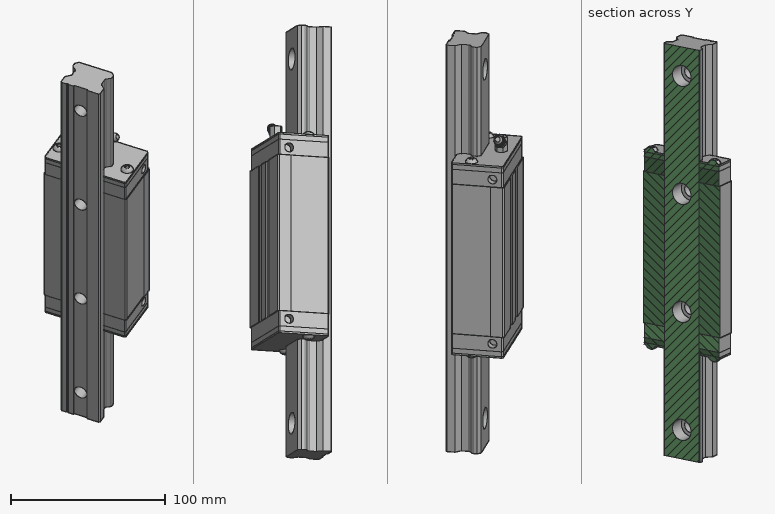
import cadquery as cq
import math

RAIL_LENGTH = 280.0
RAIL_HALF_WIDTH = 14.0
RAIL_HEIGHT = 23.0
RAIL_NECK_HALF_WIDTH = 10.5
RAIL_TOP_CHAMFER_X = 2.2
RAIL_TOP_CHAMFER_Y = 2.2
RACEWAY_TOP = 17.5
NECK_TOP = 15.0
NECK_BOTTOM = 9.5
RACEWAY_FILLET = 1.5
FOOT_TOP = 6.2
FOOT_CHAMFER = 0.8
RELIEF_WIDTH = 9.5
RELIEF_DEPTH = 0.8
MARK_X = -9.2
MARK_WIDTH = 1.0
MARK_DEPTH = 0.5
BOLT_DIAMETER = 9.0
COUNTERBORE_DIAMETER = 14.0
COUNTERBORE_DEPTH = 12.0
BOLT_COUNT = 4
BOLT_PITCH = 80.0

CARRIAGE_Z = -1.0
BLOCK_LENGTH = 103.0
BLOCK_WIDTH = 60.0
BLOCK_TOP = 42.0
CARRIAGE_BOTTOM = 7.0
BLOCK_CHAMFER = 1.0
DATUM_EDGE_Y = 33.0
DATUM_STEP = 0.3
TOP_GROOVE_X = 7.5
TOP_GROOVE_WIDTH = 6.7
TOP_GROOVE_DEPTH = 0.8

CAP_WIDTH = 58.2
CAP_TOP = 41.2
CAP_CHAMFER = 0.8
END_PLATE_THICKNESS = 10.0
SEAL_THICKNESS = 3.5
COVER_THICKNESS = 1.0
PORT_DIAMETER = 6.0
PORT_DEPTH = 5.5
PORT_Y = 34.2

SCREW_X = 24.5
SCREW_Y = 19.3
SCREW_HEAD_DIAMETER = 8.0
SCREW_HEAD_HEIGHT = 2.8
SOCKET_CORNERS = 3.5
SOCKET_DEPTH = 1.5

NIPPLE_Y = 33.5
NIPPLE_HEX_CORNERS = 8.0
NIPPLE_HEX_HEIGHT = 9.8
NIPPLE_TILT = 30
NIPPLE_AXIS_HEIGHT = 5.3
COLLAR_DIAMETER = 6.7
NECK_DIAMETER = 4.5
HEAD_DIAMETER = 6.0
TIP_DIAMETER = 3.5
ELBOW_END = 5.3
COLLAR_END = 7.0
NECK_END = 8.5
HEAD_END = 10.5
TIP_END = 12.3

BLOCK_END = BLOCK_LENGTH / 2
END_PLATE_END = BLOCK_END + END_PLATE_THICKNESS
SEAL_END = END_PLATE_END + SEAL_THICKNESS
COVER_END = SEAL_END + COVER_THICKNESS


def rail_bar():
    """Full-length bar of the rail section, also used to open the carriage around the rail."""
    right = [
        (RAIL_HALF_WIDTH - FOOT_CHAMFER, 0),
        (RAIL_HALF_WIDTH, FOOT_CHAMFER),
        (RAIL_HALF_WIDTH, FOOT_TOP),
        (RAIL_NECK_HALF_WIDTH, NECK_BOTTOM),
        (RAIL_NECK_HALF_WIDTH, NECK_TOP),
        (RAIL_HALF_WIDTH, RACEWAY_TOP),
        (RAIL_HALF_WIDTH, RAIL_HEIGHT - RAIL_TOP_CHAMFER_Y),
        (RAIL_HALF_WIDTH - RAIL_TOP_CHAMFER_X, RAIL_HEIGHT),
    ]
    left = [(-x, y) for x, y in reversed(right)]
    plane = cq.Workplane("XY", origin=(0, 0, -RAIL_LENGTH / 2))
    bar = plane.polyline(right + left).close().extrude(RAIL_LENGTH)
    fillet_points = [(side * x, y) for side in (-1, 1)
                     for x, y in ((RAIL_HALF_WIDTH, RACEWAY_TOP), (RAIL_NECK_HALF_WIDTH, NECK_TOP))]
    for x, y in fillet_points:
        bar = bar.edges(cq.selectors.NearestToPointSelector((x, y, 0))).fillet(RACEWAY_FILLET)
    return bar


def box(width, height, length, x, y_bottom, z):
    """Box centred on x and z, standing on y_bottom."""
    return cq.Workplane("XY").box(width, height, length).translate((x, y_bottom + height / 2, z))


def y_cylinder(diameter, y_start, y_end, z):
    solid = cq.Solid.makeCylinder(diameter / 2, y_end - y_start, cq.Vector(0, y_start, z), cq.Vector(0, 1, 0))
    return cq.Workplane(solid)


def make_rail():
    rail = rail_bar()
    rail = rail.cut(box(RELIEF_WIDTH, RELIEF_DEPTH, RAIL_LENGTH, 0, 0, 0))
    rail = rail.cut(box(MARK_WIDTH, MARK_DEPTH, RAIL_LENGTH, MARK_X, 0, 0))
    for i in range(BOLT_COUNT):
        z = (i - (BOLT_COUNT - 1) / 2) * BOLT_PITCH
        rail = rail.cut(y_cylinder(BOLT_DIAMETER, 0, RAIL_HEIGHT, z))
        rail = rail.cut(y_cylinder(COUNTERBORE_DIAMETER, RAIL_HEIGHT - COUNTERBORE_DEPTH, RAIL_HEIGHT, z))
    return rail


def make_block():
    height = BLOCK_TOP - CARRIAGE_BOTTOM
    block = box(BLOCK_WIDTH, height, BLOCK_LENGTH, 0, CARRIAGE_BOTTOM, CARRIAGE_Z)
    block = block.edges("|Z").chamfer(BLOCK_CHAMFER)
    step_height = DATUM_EDGE_Y - CARRIAGE_BOTTOM
    for side in (-1, 1):
        x = side * BLOCK_WIDTH / 2
        block = block.cut(box(2 * DATUM_STEP, step_height, BLOCK_LENGTH, x, CARRIAGE_BOTTOM, CARRIAGE_Z))
        groove = box(TOP_GROOVE_WIDTH, TOP_GROOVE_DEPTH, BLOCK_LENGTH,
                     side * TOP_GROOVE_X, BLOCK_TOP - TOP_GROOVE_DEPTH, CARRIAGE_Z)
        block = block.cut(groove)
    return block.cut(rail_bar())


def make_layer(end, inner, outer):
    """Plate around the rail on the +Z (end = 1) or -Z (end = -1) side of the block."""
    z = CARRIAGE_Z + end * (inner + outer) / 2
    layer = box(CAP_WIDTH, CAP_TOP - CARRIAGE_BOTTOM, outer - inner, 0, CARRIAGE_BOTTOM, z)
    return layer.edges("|Z").chamfer(CAP_CHAMFER).cut(rail_bar())


def make_end_plate(end):
    plate = make_layer(end, BLOCK_END, END_PLATE_END)
    port_z = CARRIAGE_Z + end * (BLOCK_END + END_PLATE_END) / 2
    for side in (-1, 1):
        mouth = cq.Vector(side * CAP_WIDTH / 2, PORT_Y, port_z)
        port = cq.Solid.makeCylinder(PORT_DIAMETER / 2, PORT_DEPTH, mouth, cq.Vector(-side, 0, 0))
        plate = plate.cut(cq.Workplane(port))
    return plate


def make_seal(end):
    return make_layer(end, END_PLATE_END, SEAL_END)


def make_screw_head():
    """Domed head with a hexagon socket, standing on the XY plane."""
    radius = SCREW_HEAD_DIAMETER / 2
    dome_radius = (radius ** 2 + SCREW_HEAD_HEIGHT ** 2) / (2 * SCREW_HEAD_HEIGHT)
    mid_x = radius / 2
    mid_z = SCREW_HEAD_HEIGHT - dome_radius + math.sqrt(dome_radius ** 2 - mid_x ** 2)
    head = (
        cq.Workplane("XZ")
        .lineTo(radius, 0)
        .threePointArc((mid_x, mid_z), (0, SCREW_HEAD_HEIGHT))
        .close()
        .revolve(360, (0, 0), (0, 1))
    )
    socket = hexagon_prism(SOCKET_CORNERS, SOCKET_DEPTH)
    return head.cut(socket.translate((0, 0, SCREW_HEAD_HEIGHT - SOCKET_DEPTH)))


def make_cover(end):
    """Cover plate with its two screw heads."""
    cover = make_layer(end, SEAL_END, COVER_END)
    head = make_screw_head()
    if end < 0:
        head = head.mirror("XY")
    for side in (-1, 1):
        cover = cover.union(head.translate((side * SCREW_X, SCREW_Y, CARRIAGE_Z + end * COVER_END)))
    return cover


def hexagon_prism(corners, length):
    """Hexagon prism along +Z with corners on +Y and -Y."""
    prism = cq.Workplane("XY").polygon(6, corners).extrude(length)
    return prism.rotate((0, 0, 0), (0, 0, 1), 90)


def make_nipple():
    base = hexagon_prism(NIPPLE_HEX_CORNERS, NIPPLE_HEX_HEIGHT)
    elbow = hexagon_prism(NIPPLE_HEX_CORNERS, ELBOW_END)
    head_profile = [
        (0, 0),
        (COLLAR_DIAMETER / 2, 0),
        (COLLAR_DIAMETER / 2, COLLAR_END),
        (NECK_DIAMETER / 2, COLLAR_END),
        (NECK_DIAMETER / 2, NECK_END),
        (HEAD_DIAMETER / 2, NECK_END),
        (HEAD_DIAMETER / 2, HEAD_END),
        (TIP_DIAMETER / 2, TIP_END),
        (0, TIP_END),
    ]
    head = cq.Workplane("XZ").polyline(head_profile).close().revolve(360, (0, 0), (0, 1))
    arm = elbow.union(head).rotate((0, 0, 0), (0, 1, 0), 90 - NIPPLE_TILT)
    arm = arm.translate((0, 0, NIPPLE_AXIS_HEIGHT))
    return base.union(arm).translate((0, NIPPLE_Y, CARRIAGE_Z + COVER_END))


rail = make_rail()
block = make_block()
end_plates = [make_end_plate(end) for end in (1, -1)]
seals = [make_seal(end) for end in (1, -1)]
covers = [make_cover(end) for end in (1, -1)]
nipple = make_nipple()

bodies = [rail, block, *end_plates, *seals, *covers, nipple]

result = cq.Compound.makeCompound([solid for body in bodies for solid in body.solids().vals()])